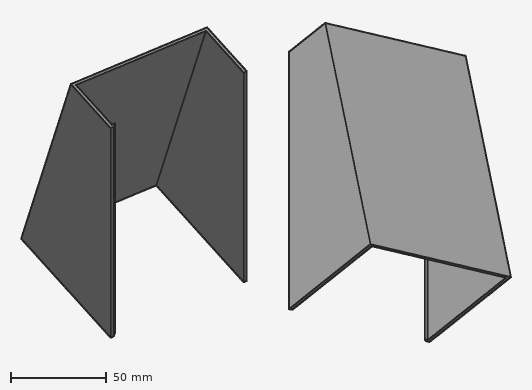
import cadquery as cq
import math

base_length = 90.0
top_length = 40.0
width = 84.0
height = 150.0

sheet = 2.0
lip_size = sheet

front_run = base_length - top_length
front_wall_x = sheet * math.hypot(front_run, height) / height


def side_profile(front_offset):
    """Side outline with its sloped front edge moved back by front_offset."""
    return (
        cq.Workplane("XZ")
        .moveTo(front_offset, 0)
        .lineTo(base_length, 0)
        .lineTo(base_length, height)
        .lineTo(front_run + front_offset, height)
        .close()
    )


body = side_profile(0).extrude(width / 2, both=True)
cavity = side_profile(front_wall_x).extrude(width / 2 - sheet, both=True)
channel = body.cut(cavity)

wall_inside_y = sheet - width / 2
lip = (
    cq.Workplane("XY")
    .moveTo(base_length, wall_inside_y)
    .lineTo(base_length - lip_size, wall_inside_y)
    .lineTo(base_length - lip_size, wall_inside_y + lip_size)
    .close()
    .extrude(height)
)

result = channel.union(lip)